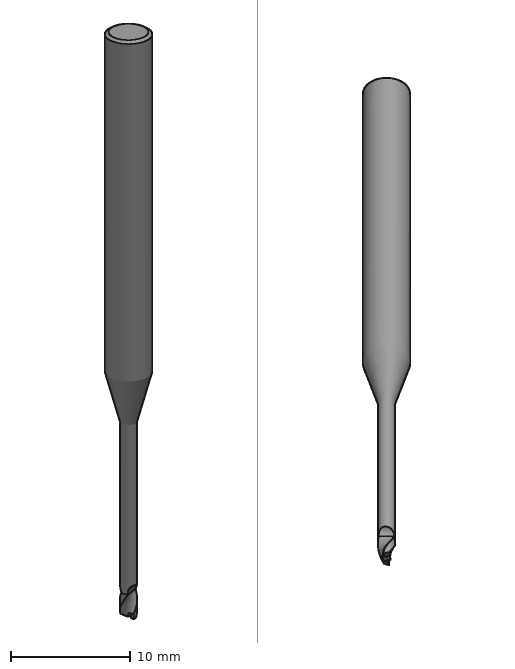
import cadquery as cq
import math

total_length = 54.0
shank_diameter = 4.0
shank_bottom = 22.6
cone_bottom = 18.05
neck_diameter = 1.45
chamfer_radial = 0.3
chamfer_height = 0.2

head_diameter = 1.45
head_length = 2.4
web_thickness = 0.65
helix_turn = 110.0

relief_angle = 25.0
gash_height = 0.5
gash_start = 0.25
dish_width = 2 * gash_start
dish_depth = 0.15

runout_radius = 0.85
runout_tilt = 12.0

tool_span = 2 * head_diameter


def make_runout(turn):
    """Tilted cylinder that ends one flute in the side of the neck."""
    axis_offset = web_thickness / 2 + runout_radius
    cutter = cq.Workplane("XZ").circle(runout_radius).extrude(tool_span, both=True)
    cutter = cutter.rotate((0, 0, 0), (1, 0, 0), -runout_tilt)
    cutter = cutter.translate((axis_offset, 0, head_length))
    return cutter.rotate((0, 0, 0), (0, 0, 1), turn)


def make_shank():
    """Chamfered shank, cone and slender neck, with the ends of both flutes."""
    shank_radius = shank_diameter / 2
    neck_radius = neck_diameter / 2
    shank = (
        cq.Workplane("XZ")
        .moveTo(0, head_length)
        .lineTo(neck_radius, head_length)
        .lineTo(neck_radius, cone_bottom)
        .lineTo(shank_radius, shank_bottom)
        .lineTo(shank_radius, total_length - chamfer_height)
        .lineTo(shank_radius - chamfer_radial, total_length)
        .lineTo(0, total_length)
        .close()
        .revolve(360, (0, 0, 0), (0, 1, 0))
    )
    first_turn = helix_turn - 90
    for turn in (first_turn, first_turn + 180):
        shank = shank.cut(make_runout(turn))
    return shank


def make_relief(side):
    """Wedge below the sloping end face on one side of the cutting edges."""
    rise = tool_span * math.tan(math.radians(relief_angle))
    return (
        cq.Workplane("YZ")
        .polyline([(0, 0), (side * tool_span, rise), (side * tool_span, 0)])
        .close()
        .extrude(tool_span, both=True)
    )


def make_gash(turn):
    """Pocket in front of one end tooth, leaving its rake face at y = 0."""
    gash = cq.Workplane("XY").box(tool_span, tool_span, gash_height, centered=False)
    gash = gash.translate((gash_start, -tool_span, 0))
    return gash.rotate((0, 0, 0), (0, 0, 1), turn)


def make_head():
    """Twisted two-flute head with a ground tip."""
    section_radius = head_diameter / 2
    half_web = web_thickness / 2
    half_chord = math.sqrt(section_radius**2 - half_web**2)
    head = (
        cq.Workplane("XY")
        .moveTo(-half_chord, -half_web)
        .lineTo(half_chord, -half_web)
        .threePointArc((section_radius, 0), (half_chord, half_web))
        .lineTo(-half_chord, half_web)
        .threePointArc((-section_radius, 0), (-half_chord, -half_web))
        .close()
        .twistExtrude(head_length, helix_turn)
    )
    for side in (-1, 1):
        head = head.cut(make_relief(side))
    for turn in (0, 180):
        head = head.cut(make_gash(turn))
    dish = cq.Workplane("XY").box(dish_width, tool_span, 2 * dish_depth)
    return head.cut(dish)


shank = make_shank()
head = make_head()
result = cq.Compound.makeCompound([shank.val(), head.val()])